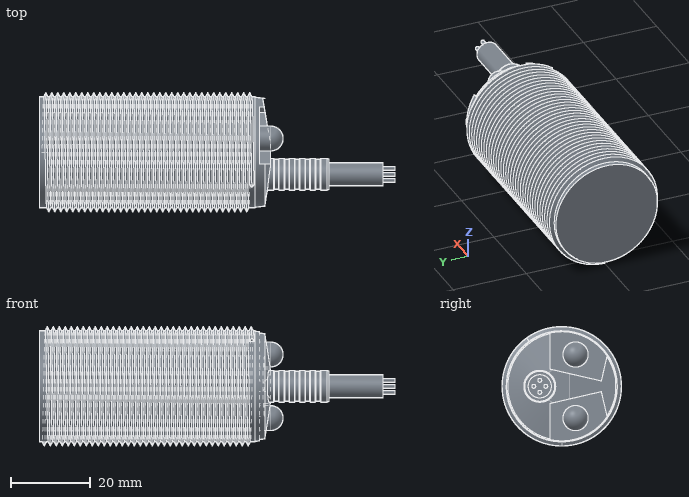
import cadquery as cq
import math


body_radius = 13.9
body_length = 54.0
thread_radius = 14.95
thread_pitch = 1.5
thread_turns = 34.6
thread_start = 1.25
thread_base_width = 1.2
thread_root_overlap = 0.1

cap_front_radius = 13.8
cap_rear_radius = 13.5
cap_rim_x = 56.4
cap_flat_x = 57.85
cap_flat_radius = 4.7

slope_start_y = 2.0
slope_end_y = 13.5
slope_end_x = 55.9

pocket_floor_x = 55.1
pocket_floor_z = 4.3
pocket_wall_y = -2.95
pocket_floor_far_y = 9.9
pocket_tilt = 13.0

lamp_radius = 3.15
lamp_y = 3.45
lamp_z = 7.95

cable_y = -5.5
gland_radius = 4.0
gland_end_x = 72.5
gland_chamfer_length = 0.5
gland_chamfer_depth = 0.25
groove_count = 5
groove_first_x = 59.3
groove_pitch = 2.6
groove_top_width = 1.4
groove_floor_width = 1.0
groove_depth = 0.2

cable_radius = 2.9
cable_end_x = 86.0
wire_count = 4
wire_radius = 0.5
wire_circle_radius = 1.5
wire_end_x = 89.0


def rod(x_start, x_end, radius, y=0.0, z=0.0):
    """Cylinder parallel to X."""
    return cq.Workplane("YZ", origin=(x_start, y, z)).circle(radius).extrude(x_end - x_start)


def revolve_about_x(points, y=0.0):
    """Solid of revolution from (x, radius) points, about an axis parallel to X."""
    profile = cq.Workplane("XY", origin=(0, y, 0)).polyline(points).close()
    return profile.revolve(360, (0, 0, 0), (1, 0, 0))


def thread_ridge():
    """Right-handed V ridge, built along Z and laid along X so that it starts at -Z."""
    root_radius = body_radius - thread_root_overlap
    helix = cq.Wire.makeHelix(thread_pitch, thread_pitch * thread_turns, root_radius)
    half_base = thread_base_width / 2
    profile = cq.Workplane("XZ").polyline(
        [(root_radius, -half_base), (thread_radius, 0), (root_radius, half_base)]
    )
    ridge = profile.close().sweep(cq.Workplane(obj=helix), isFrenet=True)
    ridge = ridge.rotate((0, 0, 0), (0, 1, 0), 90)
    return ridge.translate((thread_start, 0, 0))


def lamp_pocket():
    """Pocket on the +Z side, open at the rim and the rear; its floor slopes down towards +Y."""
    slope = math.tan(math.radians(pocket_tilt))
    far_floor_z = pocket_floor_z - slope * (pocket_floor_far_y - pocket_wall_y)
    top_z = body_radius
    top_y = pocket_floor_far_y + slope * (top_z - far_floor_z)
    outline = cq.Workplane("YZ", origin=(pocket_floor_x, 0, 0)).polyline(
        [
            (pocket_wall_y, pocket_floor_z),
            (pocket_floor_far_y, far_floor_z),
            (top_y, top_z),
            (pocket_wall_y, top_z),
        ]
    )
    return outline.close().extrude(cap_flat_x - pocket_floor_x)


def rear_cap():
    """Cap behind the body, with the sloped flat and both lamp pockets cut away."""
    cap = revolve_about_x(
        [
            (body_length, 0),
            (body_length, cap_front_radius),
            (cap_rim_x, cap_rear_radius),
            (cap_flat_x, cap_flat_radius),
            (cap_flat_x, 0),
        ]
    )
    slope_wedge = (
        cq.Workplane("XY")
        .polyline([(cap_flat_x, slope_start_y), (slope_end_x, slope_end_y), (cap_flat_x, slope_end_y)])
        .close()
        .extrude(body_radius, both=True)
    )
    pocket = lamp_pocket()
    return cap.cut(slope_wedge).cut(pocket).cut(pocket.mirror("XY"))


def lamp(z):
    """Indicator lamp with a hemispherical end, standing on the rear of the body."""
    dome = cq.Workplane("XY", origin=(cap_flat_x, lamp_y, z)).sphere(lamp_radius)
    return rod(body_length, cap_flat_x, lamp_radius, lamp_y, z).union(dome)


def cable_gland():
    """Gland around the cable, chamfered at its end and ringed by shallow grooves."""
    gland = revolve_about_x(
        [
            (body_length, 0),
            (body_length, gland_radius),
            (gland_end_x - gland_chamfer_length, gland_radius),
            (gland_end_x, gland_radius - gland_chamfer_depth),
            (gland_end_x, 0),
        ],
        cable_y,
    )
    for index in range(groove_count):
        center = groove_first_x + index * groove_pitch
        groove = revolve_about_x(
            [
                (center - groove_top_width / 2, gland_radius),
                (center - groove_floor_width / 2, gland_radius - groove_depth),
                (center + groove_floor_width / 2, gland_radius - groove_depth),
                (center + groove_top_width / 2, gland_radius),
            ],
            cable_y,
        )
        gland = gland.cut(groove)
    return gland


def cable():
    """Cable with its bare wires spread evenly on a circle."""
    core = rod(gland_end_x, cable_end_x, cable_radius, cable_y)
    for index in range(wire_count):
        angle = 2 * math.pi * index / wire_count
        y = cable_y + wire_circle_radius * math.cos(angle)
        z = wire_circle_radius * math.sin(angle)
        core = core.union(rod(cable_end_x, wire_end_x, wire_radius, y, z))
    return core


rear = rear_cap().union(lamp(lamp_z)).union(lamp(-lamp_z)).union(cable_gland()).union(cable())
threaded_body = rod(0, body_length, body_radius).union(thread_ridge())
result = threaded_body.union(rear)